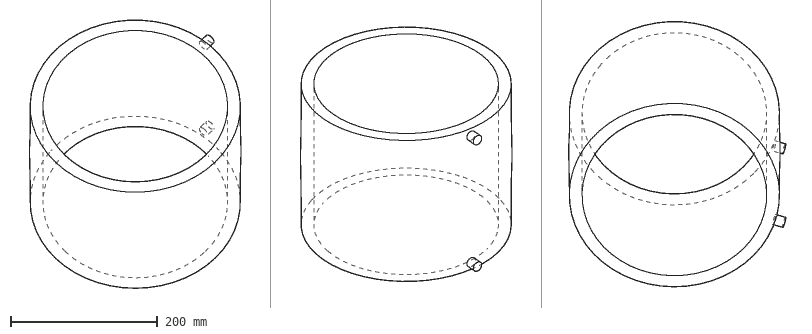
import cadquery as cq

height = 228.0
band_radius = 144.0
end_radius = 143.0
bore_radius = 125.7
band_height = 24.7

pin_radius = 7.2
pin_tip_y = 157.3
pin_end_distance = 11.8
wall_middle_radius = (bore_radius + end_radius) / 2


def make_sleeve():
    """Revolve a wall with a cylindrical centre band and slightly tapered ends."""
    half_height = height / 2
    half_band = band_height / 2
    return (
        cq.Workplane("XZ")
        .moveTo(bore_radius, -half_height)
        .lineTo(end_radius, -half_height)
        .lineTo(band_radius, -half_band)
        .lineTo(band_radius, half_band)
        .lineTo(end_radius, half_height)
        .lineTo(bore_radius, half_height)
        .close()
        .revolve(360, (0, 0, 0), (0, 1, 0))
    )


def make_pin(z):
    """Radial pin rooted inside the wall so that it fuses with the sleeve."""
    length = pin_tip_y - wall_middle_radius
    root = cq.Vector(0, wall_middle_radius, z)
    return cq.Workplane(cq.Solid.makeCylinder(pin_radius, length, root, cq.Vector(0, 1, 0)))


result = make_sleeve()
pin_height = height / 2 - pin_end_distance
for side in (-1, 1):
    result = result.union(make_pin(side * pin_height))